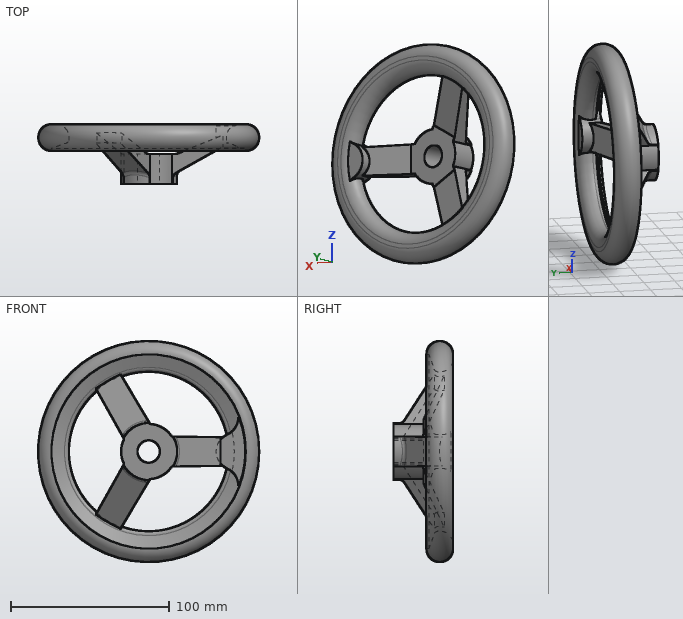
import cadquery as cq
import math


wheel_radius = 70.0
rim_depth = 17.1
tube_radius = rim_depth / 2
crown_radius = wheel_radius - tube_radius
rim_bore_radius = 50.4
rim_step_depth = 15.4
cone_inner_radius = 53.2
cone_inner_depth = 12.3
lip_radius = cone_inner_radius - rim_bore_radius
back_round = 8.4

hub_radius = 17.5
hub_face_depth = 37.9
hub_back_depth = 18.9
bore_diameter = 14.0

spoke_count = 3
spoke_width_at_axis = 19.5
spoke_end_width = 18.0
spoke_end_radius = 54.6
spoke_front_slope = 29.2
spoke_back_slope = 22.0
pad_radius = 18.0
pad_fillet = 2.8
spoke_root_depth = 30.5

boss_center_radius = 54.6
boss_radius = 11.9
boss_back_depth = 1.4
boss_front_depth = 15.3
blend_radius = 11.2
blend_outer_x = 56.5


def cylinder(radius, start_depth, end_depth):
    """Cylinder about the wheel axis between two depths."""
    plane = cq.Workplane("XZ", origin=(0, -start_depth, 0))
    return plane.circle(radius).extrude(end_depth - start_depth)


def make_rim():
    """Rounded outside, coned recess on the front and a rounded lip around the opening."""
    lip_shift = lip_radius * math.sqrt(0.5)
    back_shift = back_round * math.sqrt(0.5)
    profile = (
        cq.Workplane("XY")
        .moveTo(crown_radius, 0)
        .threePointArc((wheel_radius, -tube_radius), (crown_radius, -rim_depth))
        .lineTo(crown_radius, -rim_step_depth)
        .lineTo(cone_inner_radius, -cone_inner_depth)
        .threePointArc(
            (cone_inner_radius - lip_shift, -cone_inner_depth + lip_radius - lip_shift),
            (rim_bore_radius, -cone_inner_depth + lip_radius),
        )
        .threePointArc(
            (rim_bore_radius + back_round - back_shift, -back_round + back_shift),
            (rim_bore_radius + back_round, 0),
        )
        .close()
    )
    return profile.revolve(360, (0, 0, 0), (0, 1, 0))


def make_spoke():
    """Sloping arm along +X with a thin pad on the hub wall and a filleted root."""
    front_gradient = math.tan(math.radians(spoke_front_slope))
    back_gradient = math.tan(math.radians(spoke_back_slope))
    front_end_depth = spoke_root_depth - (spoke_end_radius - pad_radius) * front_gradient
    back_end_depth = hub_back_depth - (spoke_end_radius - hub_radius) * back_gradient
    root_depth_on_axis = spoke_root_depth + pad_radius * front_gradient
    arm = (
        cq.Workplane("XY")
        .moveTo(0, -hub_back_depth)
        .lineTo(hub_radius, -hub_back_depth)
        .lineTo(spoke_end_radius, -back_end_depth)
        .lineTo(spoke_end_radius, -front_end_depth)
        .lineTo(0, -root_depth_on_axis)
        .close()
        .extrude(wheel_radius, both=True)
    )
    arm = arm.intersect(cylinder(wheel_radius, 0, hub_face_depth))
    pad = cylinder(pad_radius, spoke_root_depth, hub_face_depth)
    plan = (
        cq.Workplane("XZ")
        .moveTo(0, -spoke_width_at_axis / 2)
        .lineTo(spoke_end_radius, -spoke_end_width / 2)
        .lineTo(spoke_end_radius, spoke_end_width / 2)
        .lineTo(0, spoke_width_at_axis / 2)
        .close()
        .extrude(hub_face_depth)
    )
    spoke = arm.union(pad).intersect(plan)
    root_box = cq.selectors.BoxSelector(
        (hub_radius - 2 * pad_fillet, -spoke_root_depth - pad_fillet, -spoke_width_at_axis / 2),
        (pad_radius + pad_fillet, -spoke_root_depth + pad_fillet, spoke_width_at_axis / 2),
    )
    return spoke.edges(root_box).fillet(pad_fillet)


def make_boss():
    """Round boss at the spoke end, flared into the rim by a concave blend on each side."""
    reach = boss_radius + blend_radius
    blend_x = blend_outer_x - blend_radius
    blend_z = math.sqrt(reach**2 - (boss_center_radius - blend_x) ** 2)
    touch_x = boss_center_radius + (blend_x - boss_center_radius) * boss_radius / reach
    touch_z = blend_z * boss_radius / reach
    middle_angle = math.atan2(touch_z - blend_z, touch_x - blend_x) / 2
    middle_x = blend_x + blend_radius * math.cos(middle_angle)
    middle_z = blend_z + blend_radius * math.sin(middle_angle)
    outline = (
        cq.Workplane("XZ")
        .moveTo(crown_radius, blend_z)
        .lineTo(blend_outer_x, blend_z)
        .threePointArc((middle_x, middle_z), (touch_x, touch_z))
        .threePointArc((boss_center_radius - boss_radius, 0), (touch_x, -touch_z))
        .threePointArc((middle_x, -middle_z), (blend_outer_x, -blend_z))
        .lineTo(crown_radius, -blend_z)
        .close()
        .extrude(boss_front_depth)
    )
    return outline.intersect(cylinder(crown_radius, boss_back_depth, boss_front_depth))


result = make_rim().union(cylinder(hub_radius, hub_back_depth, hub_face_depth))
for index in range(spoke_count):
    spoke_angle = index * 360 / spoke_count
    result = result.union(make_spoke().rotate((0, 0, 0), (0, 1, 0), spoke_angle))
result = result.union(make_boss())
result = result.cut(cylinder(bore_diameter / 2, 0, hub_face_depth))